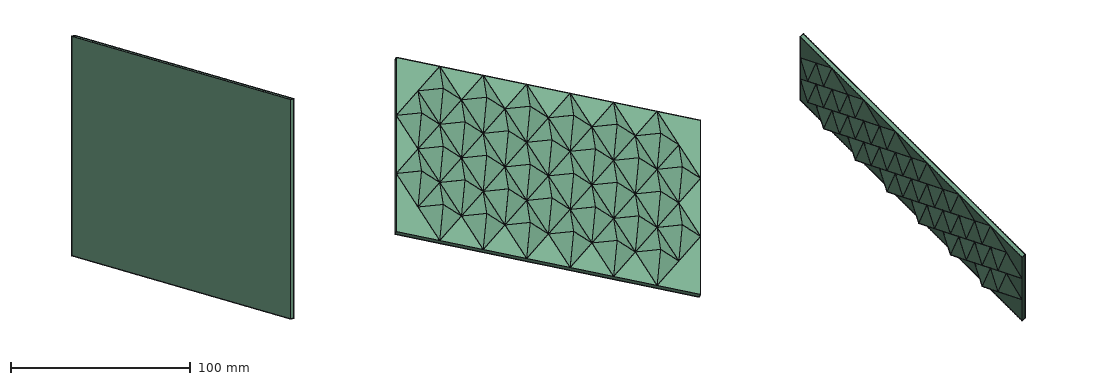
import cadquery as cq

plate_width = 177.8
plate_height = 127.0
plate_thickness = 2.5
total_depth = 8.9

columns = 14
rows = 6
half_width = plate_width / columns
half_height = plate_height / rows
pyramid_height = total_depth - plate_thickness


def pyramid(center_x, center_z):
    """Four-sided pyramid on a diamond base lying on the plate's +Y face."""
    apex = cq.Vector(center_x, plate_thickness + pyramid_height, center_z)
    corners = [
        cq.Vector(center_x - half_width, plate_thickness, center_z),
        cq.Vector(center_x, plate_thickness, center_z - half_height),
        cq.Vector(center_x + half_width, plate_thickness, center_z),
        cq.Vector(center_x, plate_thickness, center_z + half_height),
    ]
    faces = [cq.Face.makeFromWires(cq.Wire.makePolygon(corners, close=True))]
    for start, end in zip(corners, corners[1:] + corners[:1]):
        side = cq.Wire.makePolygon([start, end, apex], close=True)
        faces.append(cq.Face.makeFromWires(side))
    return cq.Solid.makeSolid(cq.Shell.makeShell(faces))


plate = cq.Workplane("XY").box(plate_width, plate_thickness, plate_height, centered=False)

pyramids = []
for row in range(1, rows):
    first_column = 1 + row % 2
    for column in range(first_column, columns, 2):
        pyramids.append(pyramid(column * half_width, row * half_height))

result = cq.Workplane(plate.val().fuse(*pyramids))